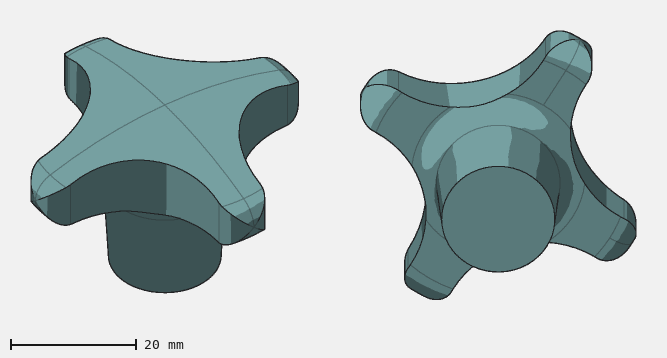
import cadquery as cq
import math

span = 50.0
height = 32.0
head_bottom = 20.0

stem_base_radius = 9.0
stem_taper = math.radians(3.0)
neck_fillet = 4.0

rim_radius = 4.25

arm_count = 4
arm_width = 8.0
valley_floor_radius = 12.3

sector = 360 / arm_count
half_span = span / 2
half_width = arm_width / 2


def polar(center, radius, angle):
    """Point on a circle at an angle measured from the first axis."""
    return (center[0] + radius * math.cos(angle), center[1] + radius * math.sin(angle))


def quarter_body():
    """Stem, neck fillet, rounded rim and dome, revolved through the first quadrant."""
    neck_z = head_bottom - neck_fillet * (1 - math.sin(stem_taper))
    neck_radius = stem_base_radius + neck_z * math.tan(stem_taper)
    fillet_center = (
        neck_radius + neck_fillet * math.cos(stem_taper),
        head_bottom - neck_fillet,
    )
    fillet_start = math.pi - stem_taper
    fillet_end = math.pi / 2

    rim_center = (half_span - rim_radius, head_bottom + rim_radius)
    drop = height - rim_center[1]
    dome_radius = (rim_center[0] ** 2 + drop**2 - rim_radius**2) / (2 * (drop - rim_radius))
    dome_center = (0, height - dome_radius)
    rim_angle = math.atan2(rim_center[1] - dome_center[1], rim_center[0])

    profile = (
        cq.Workplane("XZ")
        .lineTo(stem_base_radius, 0)
        .lineTo(*polar(fillet_center, neck_fillet, fillet_start))
        .threePointArc(
            polar(fillet_center, neck_fillet, (fillet_start + fillet_end) / 2),
            polar(fillet_center, neck_fillet, fillet_end),
        )
        .lineTo(rim_center[0], head_bottom)
        .threePointArc(
            polar(rim_center, rim_radius, 0),
            polar(rim_center, rim_radius, rim_angle),
        )
        .threePointArc(
            polar(dome_center, dome_radius, (rim_angle + math.pi / 2) / 2),
            (0, height),
        )
        .close()
    )
    return profile.revolve(sector, (0, 0, 0), (0, 1, 0))


def quarter_cross():
    """Full-height prism of two half arms and the concave valley between them."""
    tip_center = half_span - half_width
    tip_middle = polar((tip_center, 0), half_width, math.pi / 4)
    valley_middle = polar((0, 0), valley_floor_radius, math.pi / 4)

    return (
        cq.Workplane("XY")
        .lineTo(half_span, 0)
        .threePointArc(tip_middle, (tip_center, half_width))
        .threePointArc(valley_middle, (half_width, tip_center))
        .threePointArc((tip_middle[1], tip_middle[0]), (0, half_span))
        .close()
        .extrude(height)
    )


quarter = quarter_body().intersect(quarter_cross())
result = quarter
for turn in range(1, arm_count):
    result = result.union(quarter.rotate((0, 0, 0), (0, 0, 1), turn * sector), clean=False)
result = result.clean()